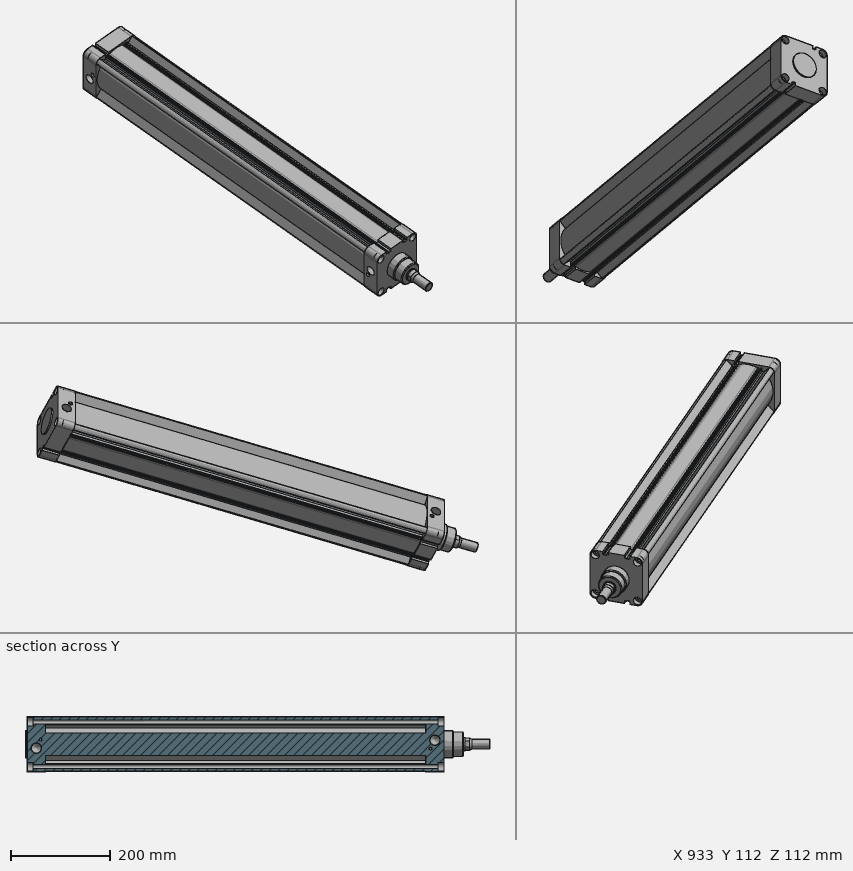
import cadquery as cq
import math

SIDE = 112.0
TOTAL_LENGTH = 933.0
BARREL_LENGTH = 764.0
BOSS_LENGTH = 3.0
CAP_LENGTH = 37.0
COLLAR_LENGTH = 19.0
GLAND_LENGTH = 20.0
HUB_LENGTH = 3.0

REAR_CAP_X = -TOTAL_LENGTH / 2 + BOSS_LENGTH
BARREL_X = REAR_CAP_X + CAP_LENGTH
FRONT_CAP_X = BARREL_X + BARREL_LENGTH
COLLAR_X = FRONT_CAP_X + CAP_LENGTH
GLAND_X = COLLAR_X + COLLAR_LENGTH
HUB_X = GLAND_X + GLAND_LENGTH
ROD_X = HUB_X + HUB_LENGTH
ROD_END_X = TOTAL_LENGTH / 2

GUIDE_DIAMETER = 55.0
GLAND_DIAMETER = 50.0
HUB_DIAMETER = 27.0
ROD_DIAMETER = 25.0
ROD_LENGTH = 9.0
THREAD_DIAMETER = 20.0
TAPER_LENGTH = 5.0
THREAD_CHAMFER = 1.0
WRENCH_FLATS = 22.0
COLLAR_CHAMFER = 2.0

CORNER_RADIUS = 12.0
BOLT_SPACING = 90.0
BOLT_HOLE_DIAMETER = 8.5
COUNTERBORE_DIAMETER = 17.0
COUNTERBORE_DEPTH = 12.0
PORT_DIAMETER = 20.0
PORT_DEPTH = 16.0
PORT_OFFSET = 8.0
DRILL_POINT_ANGLE = 118.0
SCREW_DIAMETER = 5.0
SCREW_DEPTH = 12.0
SCREW_HEAD_DIAMETER = 8.0
SCREW_HEAD_DEPTH = 5.0
SCREW_FROM_PORT_X = 8.5
SCREW_OFFSET = 9.0

BARREL_SIDE = 111.0
TUBE_RADIUS = 53.0
RIB_HALF_OFFSET = 9.0
RAIL_INNER = 17.0
RAIL_OUTER = 30.0
RAIL_TOP = math.sqrt(TUBE_RADIUS**2 - RAIL_INNER**2)
SLOT_INNER = 21.75
SLOT_OUTER = 26.25
SLOT_UNDERCUT = 1.75
SLOT_FLOOR = 42.0
SLOT_LIP = 1.8

GROOVE_OUTER = 29.0
FRONT_GROOVE_INNER = 17.0
REAR_GROOVE_INNER = 21.0
GROOVE_FLOOR = 50.0
GROOVE_SLOT_FLOOR = 48.5


def bar(x, length, y_low, y_high, z_low, z_high):
    """Box along X given by its Y and Z limits."""
    size_y = y_high - y_low
    size_z = z_high - z_low
    box = cq.Workplane("XY").box(length, size_y, size_z, centered=False)
    return box.translate((x, y_low, z_low))


def rounded_square(x, length, side):
    """Square block on the axis with rounded long edges."""
    block = bar(x, length, -side / 2, side / 2, -side / 2, side / 2)
    return block.edges("|X").fillet(CORNER_RADIUS)


def cylinder(x, length, diameter):
    """Cylinder on the axis."""
    return cq.Workplane("YZ", origin=(x, 0, 0)).circle(diameter / 2).extrude(length)


def cone(x, length, start_diameter, end_diameter):
    """Cone frustum on the axis, from the start diameter at x to the end diameter."""
    solid = cq.Solid.makeCone(
        start_diameter / 2, end_diameter / 2, length, cq.Vector(x, 0, 0), cq.Vector(1, 0, 0)
    )
    return cq.Workplane(solid)


def four_sided(body):
    """Union of a body with its copies mirrored across the XZ and XY planes."""
    upper = body.union(body.mirror("XZ"))
    return upper.union(upper.mirror("XY"))


def make_rails():
    """Rails level with the tube where their inner edges meet it."""
    rail = bar(BARREL_X, BARREL_LENGTH, RAIL_INNER, RAIL_OUTER, 0, RAIL_TOP)
    return four_sided(rail)


def make_sensor_slots():
    """T-slots in the rails: a narrow opening above a wider cavity."""
    opening = bar(BARREL_X, BARREL_LENGTH, SLOT_INNER, SLOT_OUTER, SLOT_FLOOR, SIDE / 2)
    cavity = bar(
        BARREL_X, BARREL_LENGTH,
        SLOT_INNER - SLOT_UNDERCUT, SLOT_OUTER + SLOT_UNDERCUT,
        SLOT_FLOOR, RAIL_TOP - SLOT_LIP,
    )
    return four_sided(opening.union(cavity))


def make_barrel():
    """Tube with a 45 degree rib to each corner; rib faces lie where |Y| and |Z| differ by RIB_HALF_OFFSET."""
    rib_width = RIB_HALF_OFFSET * math.sqrt(2)
    ribs = cq.Workplane("XY").box(BARREL_LENGTH, 2 * SIDE, rib_width)
    ribs = ribs.union(ribs.rotate((0, 0, 0), (1, 0, 0), 90))
    ribs = ribs.rotate((0, 0, 0), (1, 0, 0), 45)
    ribs = ribs.translate((BARREL_X + BARREL_LENGTH / 2, 0, 0))
    ribs = ribs.intersect(rounded_square(BARREL_X, BARREL_LENGTH, BARREL_SIDE))
    tube = cylinder(BARREL_X, BARREL_LENGTH, 2 * TUBE_RADIUS)
    return tube.union(ribs).union(make_rails()).cut(make_sensor_slots())


def drilled_hole(x, z, diameter, depth):
    """Hole in the -Y face with a conical drill point, as a solid to cut away."""
    radius = diameter / 2
    tip = radius / math.tan(math.radians(DRILL_POINT_ANGLE / 2))
    half_section = [(0, 0), (radius, 0), (radius, depth), (0, depth + tip)]
    hole = cq.Workplane("XY").polyline(half_section).close().revolve(360, (0, 0, 0), (0, 1, 0))
    return hole.translate((x, -SIDE / 2, z))


def cut_ports(cap, cap_x, direction):
    """Port and cushion screw hole in the -Y face; direction -1 turns the pair by 180 degrees."""
    port_x = cap_x + CAP_LENGTH / 2
    screw_x = port_x + direction * SCREW_FROM_PORT_X
    screw_z = direction * SCREW_OFFSET
    port = drilled_hole(port_x, -direction * PORT_OFFSET, PORT_DIAMETER, PORT_DEPTH)
    screw = drilled_hole(screw_x, screw_z, SCREW_DIAMETER, SCREW_DEPTH)
    head = drilled_hole(screw_x, screw_z, SCREW_HEAD_DIAMETER, SCREW_HEAD_DEPTH)
    return cap.cut(port).cut(screw).cut(head)


def cap_groove(cap_x, inner, slot_inner):
    """Groove along the top of a cap, with a deeper slot in its floor."""
    groove = bar(cap_x, CAP_LENGTH, inner, GROOVE_OUTER, GROOVE_FLOOR, SIDE / 2)
    slot = bar(cap_x, CAP_LENGTH, slot_inner, SLOT_OUTER, GROOVE_SLOT_FLOOR, SIDE / 2)
    return groove.union(slot)


def make_rear_cap():
    cap = cut_ports(rounded_square(REAR_CAP_X, CAP_LENGTH, SIDE), REAR_CAP_X, 1)
    lower_groove = cap_groove(REAR_CAP_X, REAR_GROOVE_INNER, REAR_GROOVE_INNER).mirror("XY")
    upper_groove = lower_groove.rotate((0, 0, 0), (1, 0, 0), 180)
    return cap.cut(lower_groove).cut(upper_groove)


def make_front_cap():
    cap = cut_ports(rounded_square(FRONT_CAP_X, CAP_LENGTH, SIDE), FRONT_CAP_X, -1)
    return cap.cut(four_sided(cap_groove(FRONT_CAP_X, FRONT_GROOVE_INNER, SLOT_INNER)))


def make_rod_end():
    """Collar, gland, hub and rod with wrench flats, taper and thread core."""
    collar = cylinder(COLLAR_X, COLLAR_LENGTH, GUIDE_DIAMETER).faces(">X").chamfer(COLLAR_CHAMFER)
    gland = cylinder(GLAND_X, GLAND_LENGTH, GLAND_DIAMETER).faces(">X").chamfer(COLLAR_CHAMFER)
    hub = cylinder(HUB_X, HUB_LENGTH, HUB_DIAMETER)
    half_flats = WRENCH_FLATS / 2
    flats = bar(ROD_X, ROD_LENGTH, -half_flats, half_flats, -ROD_DIAMETER, ROD_DIAMETER)
    rod = cylinder(ROD_X, ROD_LENGTH, ROD_DIAMETER).intersect(flats)
    taper_x = ROD_X + ROD_LENGTH
    taper = cone(taper_x, TAPER_LENGTH, ROD_DIAMETER, THREAD_DIAMETER)
    thread_x = taper_x + TAPER_LENGTH
    thread = cylinder(thread_x, ROD_END_X - thread_x, THREAD_DIAMETER)
    thread = thread.faces(">X").chamfer(THREAD_CHAMFER)
    return collar.union(gland).union(hub).union(rod).union(taper).union(thread)


def make_bolt_holes():
    """Through holes in the four corners, counterbored in both caps."""
    half = BOLT_SPACING / 2
    hole = cylinder(REAR_CAP_X, COLLAR_X - REAR_CAP_X, BOLT_HOLE_DIAMETER)
    for x in (REAR_CAP_X, COLLAR_X - COUNTERBORE_DEPTH):
        hole = hole.union(cylinder(x, COUNTERBORE_DEPTH, COUNTERBORE_DIAMETER))
    return four_sided(hole.translate((0, half, half)))


result = (
    make_rear_cap()
    .union(cylinder(-TOTAL_LENGTH / 2, BOSS_LENGTH, GUIDE_DIAMETER))
    .union(make_barrel())
    .union(make_front_cap())
    .union(make_rod_end())
    .cut(make_bolt_holes())
)